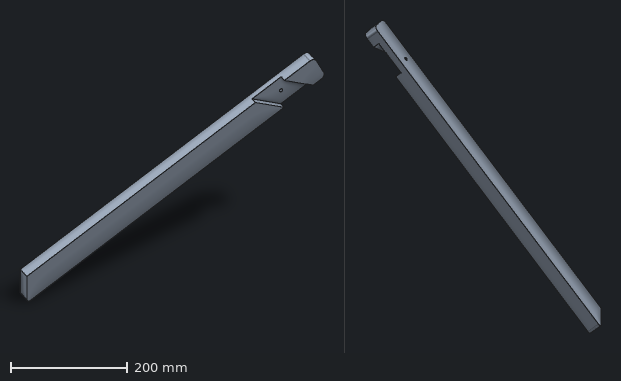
import cadquery as cq
import math

overall_length = 578.0
thickness = 25.0
beam_width = 50.0
slope = math.atan(0.5)
head_radius = 10.0
foot_radius = 5.0
joint_from_head = 78.0
bolt_diameter = 6.0
lap_depth = thickness / 2

sin_slope = math.sin(slope)
cos_slope = math.cos(slope)


def along_beam(point, distance, offset):
    """Move a (y, z) point along the beam, then offset it towards the upper edge."""
    y, z = point
    return (
        y + distance * cos_slope - offset * sin_slope,
        z + distance * sin_slope + offset * cos_slope,
    )


lower_edge_z = foot_radius - foot_radius * math.tan(slope) - foot_radius / cos_slope
upper_edge_z = lower_edge_z + beam_width / cos_slope

lower_round_y = overall_length - head_radius
lower_round_z = lower_edge_z + lower_round_y * math.tan(slope) + head_radius / cos_slope
head_lower = along_beam((lower_round_y, lower_round_z), head_radius, -head_radius)
head_upper = along_beam(head_lower, 0, beam_width)
joint_center = along_beam(head_lower, -joint_from_head, beam_width / 2)


def make_beam():
    """Sloping beam with a square head and a vertical foot."""
    beam = (
        cq.Workplane("YZ")
        .polyline([(0, lower_edge_z), head_lower, head_upper, (0, upper_edge_z)])
        .close()
        .extrude(thickness)
    )
    beam = beam.edges("|X").edges(">Y or >Z").fillet(head_radius)
    return beam.edges("|X").edges("<Z").fillet(foot_radius)


def make_half_lap():
    """Seat for an equal beam crossing at the mirrored slope."""
    seat_length = 4 * beam_width
    return (
        cq.Workplane("YZ", origin=(thickness - lap_depth, 0, 0))
        .center(*joint_center)
        .transformed(rotate=(0, 0, -math.degrees(slope)))
        .rect(seat_length, beam_width)
        .extrude(lap_depth)
    )


def make_bolt_hole():
    """Hole through the centre of the half-lap joint."""
    return cq.Workplane("YZ").center(*joint_center).circle(bolt_diameter / 2).extrude(thickness)


result = make_beam().cut(make_half_lap()).cut(make_bolt_hole())